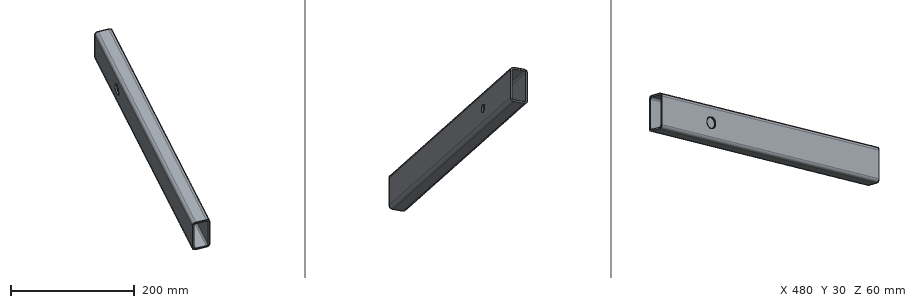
import cadquery as cq

length = 480.0
height = 60.0
width = height / 2
wall = 3.0
outer_radius = 2 * wall
inner_radius = outer_radius - wall

hole_from_end = 109.0
front_hole_diameter = 19.0
back_hole_diameter = 13.0


def rounded_bar(bar_width, bar_height, corner_radius):
    """Full-length bar along X with rounded long edges."""
    return cq.Workplane("XY").box(length, bar_width, bar_height).edges("|X").fillet(corner_radius)


def hole_cutter(diameter, direction):
    """Cylinder from the tube axis out through one side wall; direction is -1 or +1 along Y."""
    hole_x = hole_from_end - length / 2
    return cq.Workplane("XZ", origin=(hole_x, 0, 0)).circle(diameter / 2).extrude(-direction * width)


tube = rounded_bar(width, height, outer_radius).cut(
    rounded_bar(width - 2 * wall, height - 2 * wall, inner_radius)
)

result = tube.cut(hole_cutter(front_hole_diameter, -1)).cut(hole_cutter(back_hole_diameter, 1))